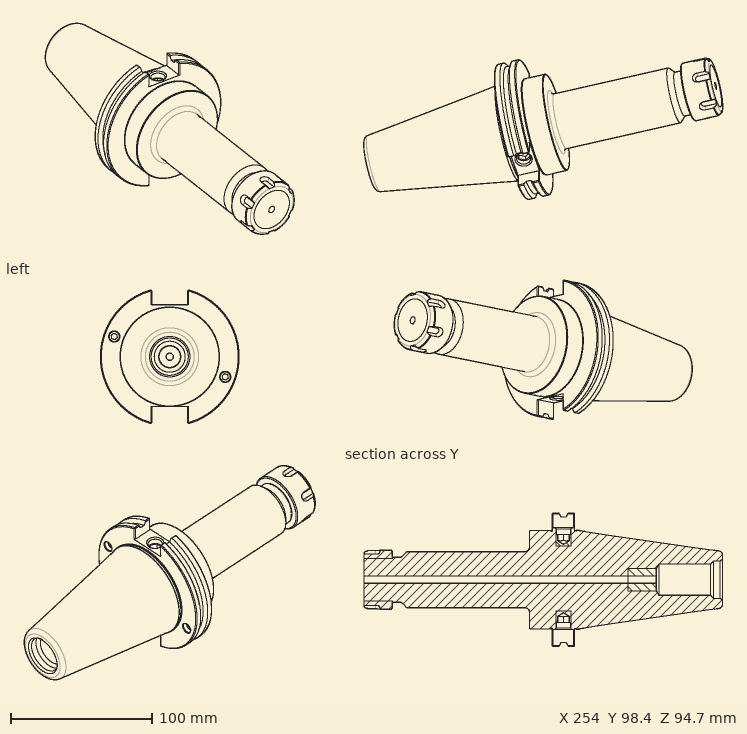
import cadquery as cq
import math


gauge_diameter = 69.85
taper_length = 101.6
taper_per_length = 7 / 24
small_end_diameter = gauge_diameter - taper_per_length * taper_length
small_end_fillet = 3.2

flange_diameter = 98.43
flange_start = 3.18
flange_width = 15.875
flange_end = flange_start + flange_width
flange_middle = (flange_start + flange_end) / 2
flange_chamfer = 0.7
collar_diameter = 70.5
collar_relief_width = 1.2
hub_relief_width = 0.7
relief_depth = 0.5
groove_middle = 11.0
groove_floor_width = 3.5
groove_mouth_width = 7.0
groove_depth = 2.9

hub_diameter = 70.0
hub_end = 35.2
hub_chamfer = 0.5
shank_diameter = 40.0
shank_fillet = 3.0
neck_diameter = 32.0
neck_start = 126.0
nose_diameter = 30.5
overall_end = 152.4

slot_width = 25.4
slot_edge_chamfer = flange_chamfer
slot_floors = {1: 36.9, -1: 35.3}

mouth_diameter = 28.6
counterbore_diameter = 26.36
counterbore_depth = 6.4
thread_diameter = 21.97
thread_depth = 45.0
stop_diameter = 15.75
mouth_half_angle = 30.0
step_half_angle = 45.0
drill_half_angle = 59.0

stop_length = 20.0
stop_end_diameter = 15.11
coolant_hole_diameter = 5.0

nut_diameter = 42.0
nut_length = 20.2
nut_start = overall_end - nut_length
nut_back_chamfer = 0.8
nut_front_chamfer = 0.5
nut_front_fillet = 2.1
wrench_slot_count = 6
wrench_slot_width = 4.2
wrench_slot_length = 10.4
long_wrench_slot_length = 12.6
long_wrench_slot_index = 5
wrench_slot_floor = 18.3
wrench_slot_draft = 30.0

slot_screw_diameter = 10.13
slot_screw_length = 8.0
slot_screw_recess = 5.0
slot_screw_mouth = 12.2
slot_screw_hex = 8.0
slot_screw_socket_depth = 4.0

face_screw_diameter = 7.11
face_screw_length = 8.0
face_screw_recess = 3.5
face_screw_mouth = 8.0
face_screw_hex = 4.0
face_screw_socket_depth = 3.0
face_screw_radius = 41.8
face_screw_angle = 20.0


def revolve_x(profile):
    """Turn a closed outline of (x, radius) in the XY plane around the X axis."""
    return profile.close().revolve(360, (0, 0, 0), (1, 0, 0))


def rod_x(diameter, start, end):
    return cq.Workplane("YZ", origin=(start, 0, 0)).circle(diameter / 2).extrude(end - start)


def screw_hole(diameter, mouth_diameter, depth):
    """The volume of a hole going down from Z = 0, with a 45 degree countersink at its mouth."""
    radius = diameter / 2
    mouth_radius = mouth_diameter / 2
    countersink = mouth_radius - radius
    return (
        cq.Workplane("XZ")
        .moveTo(0, 0)
        .lineTo(mouth_radius, 0)
        .lineTo(radius, -countersink)
        .lineTo(radius, -depth)
        .lineTo(0, -depth)
        .close()
        .revolve(360, (0, 0, 0), (0, 1, 0))
    )


def set_screw(diameter, length, recess, hex_width, socket_depth):
    """A set screw going down from Z = -recess, with a hexagon socket that ends in a cone."""
    corner_diameter = hex_width / math.cos(math.radians(30))
    cone_depth = corner_diameter / 2 / math.tan(math.radians(drill_half_angle))
    body = cq.Workplane("XY", origin=(0, 0, -recess)).circle(diameter / 2).extrude(-length)
    hexagon = (
        cq.Workplane("XY", origin=(0, 0, -recess))
        .transformed(rotate=(0, 0, 30))
        .polygon(6, corner_diameter)
        .extrude(-socket_depth - cone_depth)
    )
    drill = (
        cq.Workplane("XZ")
        .moveTo(0, -recess)
        .lineTo(corner_diameter, -recess)
        .lineTo(corner_diameter, -recess - socket_depth + cone_depth)
        .lineTo(0, -recess - socket_depth - cone_depth)
        .close()
        .revolve(360, (0, 0, 0), (0, 1, 0))
    )
    return body.cut(hexagon.intersect(drill))


def in_drive_slot(shape, side):
    """Move a shape from the origin to the floor of the drive slot on the +Z or -Z side."""
    turned = shape if side > 0 else shape.rotate((0, 0, 0), (1, 0, 0), 180)
    return turned.translate((flange_middle, 0, side * slot_floors[side]))


def in_flange_face(shape, side):
    """Move a shape from the origin to the back face of the flange, pointing along +X."""
    turned = shape.rotate((0, 0, 0), (0, 1, 0), -90).translate((flange_start, face_screw_radius, 0))
    angle = face_screw_angle if side > 0 else face_screw_angle + 180
    return turned.rotate((0, 0, 0), (1, 0, 0), angle)


def make_outer_body():
    flange_radius = flange_diameter / 2
    collar_radius = collar_diameter / 2
    hub_radius = hub_diameter / 2
    shank_radius = shank_diameter / 2
    neck_radius = neck_diameter / 2
    groove_radius = flange_radius - groove_depth
    profile = (
        cq.Workplane("XY")
        .moveTo(-taper_length, 0)
        .lineTo(-taper_length, small_end_diameter / 2)
        .lineTo(0, gauge_diameter / 2)
        .lineTo(0, collar_radius)
        .lineTo(flange_start - collar_relief_width, collar_radius)
        .lineTo(flange_start - collar_relief_width, collar_radius - relief_depth)
        .lineTo(flange_start, collar_radius - relief_depth)
        .lineTo(flange_start, flange_radius - flange_chamfer)
        .lineTo(flange_start + flange_chamfer, flange_radius)
        .lineTo(groove_middle - groove_mouth_width / 2, flange_radius)
        .lineTo(groove_middle - groove_floor_width / 2, groove_radius)
        .lineTo(groove_middle + groove_floor_width / 2, groove_radius)
        .lineTo(groove_middle + groove_mouth_width / 2, flange_radius)
        .lineTo(flange_end - flange_chamfer, flange_radius)
        .lineTo(flange_end, flange_radius - flange_chamfer)
        .lineTo(flange_end, hub_radius - relief_depth)
        .lineTo(flange_end + hub_relief_width, hub_radius - relief_depth)
        .lineTo(flange_end + hub_relief_width, hub_radius)
        .lineTo(hub_end - hub_chamfer, hub_radius)
        .lineTo(hub_end, hub_radius - hub_chamfer)
        .lineTo(hub_end, shank_radius + shank_fillet)
        .radiusArc((hub_end + shank_fillet, shank_radius), -shank_fillet)
        .lineTo(neck_start - shank_radius + neck_radius, shank_radius)
        .lineTo(neck_start, neck_radius)
        .lineTo(nut_start, neck_radius)
        .lineTo(nut_start, nose_diameter / 2)
        .lineTo(overall_end, nose_diameter / 2)
        .lineTo(overall_end, 0)
    )
    return revolve_x(profile).faces("<X").edges().fillet(small_end_fillet)


def cone_length(large_diameter, small_diameter, half_angle):
    return (large_diameter - small_diameter) / 2 / math.tan(math.radians(half_angle))


mouth_end = -taper_length + cone_length(mouth_diameter, counterbore_diameter, mouth_half_angle)
counterbore_end = -taper_length + counterbore_depth
thread_start = counterbore_end + cone_length(counterbore_diameter, thread_diameter, step_half_angle)
thread_end = -taper_length + thread_depth
stop_start = thread_end + cone_length(thread_diameter, stop_diameter, drill_half_angle)
stop_end = stop_start + stop_length


def make_bore():
    """Stepped hole down to the stop screw, and the coolant hole through the whole holder."""
    profile = (
        cq.Workplane("XY")
        .moveTo(-taper_length, 0)
        .lineTo(-taper_length, mouth_diameter / 2)
        .lineTo(mouth_end, counterbore_diameter / 2)
        .lineTo(counterbore_end, counterbore_diameter / 2)
        .lineTo(thread_start, thread_diameter / 2)
        .lineTo(thread_end, thread_diameter / 2)
        .lineTo(stop_start, stop_diameter / 2)
        .lineTo(stop_end, stop_diameter / 2)
        .lineTo(stop_end, 0)
    )
    return revolve_x(profile).union(rod_x(coolant_hole_diameter, -taper_length, overall_end))


def make_drive_slot(side):
    """A slot across the flange, chamfered along both flange faces and along the flange rim."""
    floor = slot_floors[side]
    rim = flange_diameter / 2
    half_width = slot_width / 2
    wide = half_width + slot_edge_chamfer
    rim_corner = math.sqrt(rim**2 - wide**2)
    across = (
        cq.Workplane("XY", origin=(0, 0, floor))
        .moveTo(flange_start, 0)
        .lineTo(flange_start, wide)
        .lineTo(flange_start + slot_edge_chamfer, half_width)
        .lineTo(flange_end - slot_edge_chamfer, half_width)
        .lineTo(flange_end, wide)
        .lineTo(flange_end, 0)
        .mirrorX()
        .extrude(rim - floor)
    )
    flare = (
        cq.Workplane("YZ", origin=(flange_start, 0, 0))
        .moveTo(0, rim)
        .lineTo(wide, rim)
        .lineTo(wide, rim_corner)
        .lineTo(half_width, rim_corner - slot_edge_chamfer)
        .lineTo(0, rim_corner - slot_edge_chamfer)
        .mirrorY()
        .extrude(flange_width)
    )
    slot = across.union(flare)
    return slot if side > 0 else slot.mirror("XY")


def make_holder():
    holder = make_outer_body().cut(make_bore())
    slot_hole = screw_hole(slot_screw_diameter, slot_screw_mouth, slot_screw_recess + slot_screw_length)
    face_hole = screw_hole(face_screw_diameter, face_screw_mouth, face_screw_recess + face_screw_length)
    for side in (1, -1):
        holder = holder.cut(make_drive_slot(side))
        holder = holder.cut(in_drive_slot(slot_hole, side))
        holder = holder.cut(in_flange_face(face_hole, side))
    return holder


def make_stop_screw():
    chamfer = (stop_diameter - stop_end_diameter) / 2
    screw = rod_x(stop_diameter, stop_start, stop_end).faces("<X").chamfer(chamfer)
    return screw.cut(rod_x(coolant_hole_diameter, stop_start, stop_end))


def make_wrench_slot(length):
    """The volume of a round-ended slot at +Z, open towards +X, that widens outwards."""
    centre_start = overall_end - length + wrench_slot_width / 2
    slot_height = nut_diameter / 2 - wrench_slot_floor
    return (
        cq.Workplane("XY", origin=(overall_end, 0, wrench_slot_floor))
        .slot2D(2 * (overall_end - centre_start) + wrench_slot_width, wrench_slot_width)
        .extrude(slot_height, taper=-wrench_slot_draft)
    )


def make_nut():
    radius = nut_diameter / 2
    fillet_start = overall_end - nut_front_fillet
    fillet_radius = radius - nut_front_chamfer
    profile = (
        cq.Workplane("XY")
        .moveTo(nut_start, nose_diameter / 2)
        .lineTo(nut_start, radius - nut_back_chamfer)
        .lineTo(nut_start + nut_back_chamfer, radius)
        .lineTo(fillet_start - nut_front_chamfer, radius)
        .lineTo(fillet_start, fillet_radius)
        .radiusArc((overall_end, fillet_radius - nut_front_fillet), nut_front_fillet)
        .lineTo(overall_end, nose_diameter / 2)
    )
    nut = revolve_x(profile)
    for index in range(wrench_slot_count):
        is_long = index == long_wrench_slot_index
        slot = make_wrench_slot(long_wrench_slot_length if is_long else wrench_slot_length)
        nut = nut.cut(slot.rotate((0, 0, 0), (1, 0, 0), index * 360 / wrench_slot_count))
    return nut


holder = make_holder()
stop_screw = make_stop_screw()
nut = make_nut()

slot_screw = set_screw(
    slot_screw_diameter, slot_screw_length, slot_screw_recess, slot_screw_hex, slot_screw_socket_depth
)
face_screw = set_screw(
    face_screw_diameter, face_screw_length, face_screw_recess, face_screw_hex, face_screw_socket_depth
)
slot_screws = [in_drive_slot(slot_screw, side) for side in (1, -1)]
face_screws = [in_flange_face(face_screw, side) for side in (1, -1)]

bodies = [holder, stop_screw, nut, *slot_screws, *face_screws]
result = cq.Compound.makeCompound([body.val() for body in bodies])